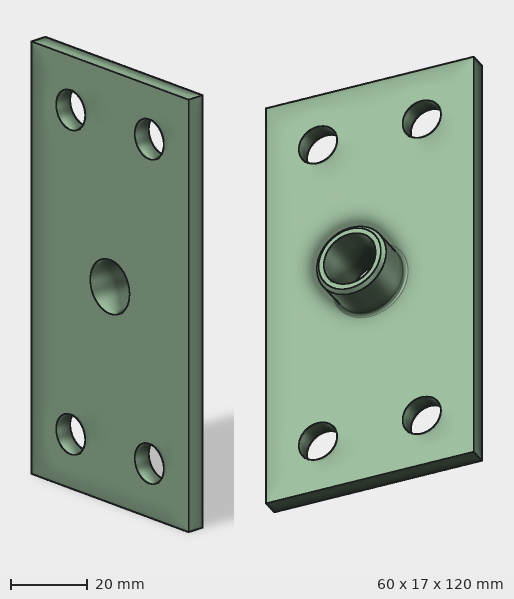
import cadquery as cq

plate_height = 120.0
plate_width = plate_height / 2
plate_thickness = 5.0

mount_hole_diameter = 11.0
mount_spacing_x = plate_width / 2
mount_spacing_z = plate_height * 3 / 4

boss_diameter = 20.0
boss_length = 12.0
bore_diameter = 15.0
rim_chamfer = 1.03
root_fillet = 1.0

plate = cq.Workplane("XZ").rect(plate_width, plate_height).extrude(-plate_thickness)

boss = (
    cq.Workplane("XZ", origin=(0, plate_thickness, 0))
    .circle(boss_diameter / 2)
    .extrude(-boss_length)
)

body = plate.union(boss)
body = body.faces(">Y").edges().chamfer(rim_chamfer)
root_edge = cq.selectors.BoxSelector(
    (-boss_diameter, plate_thickness / 2, -boss_diameter),
    (boss_diameter, plate_thickness + boss_length / 2, boss_diameter),
)
body = body.edges("%CIRCLE").edges(root_edge).fillet(root_fillet)

total_depth = plate_thickness + boss_length
bore = cq.Workplane("XZ").circle(bore_diameter / 2).extrude(-total_depth)
mount_holes = (
    cq.Workplane("XZ")
    .rect(mount_spacing_x, mount_spacing_z, forConstruction=True)
    .vertices()
    .circle(mount_hole_diameter / 2)
    .extrude(-plate_thickness)
)

result = body.cut(bore).cut(mount_holes)